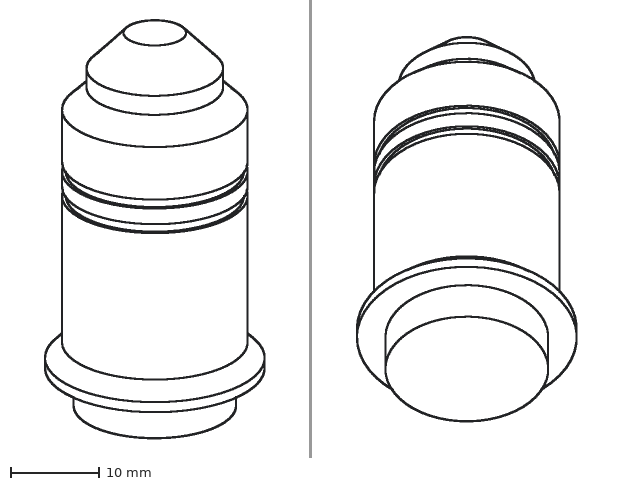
import cadquery as cq

total_height = 46.1

flange_radius = 12.45
body_radius = 10.5
groove_radius = 10.1
spigot_radius = 9.2
neck_radius = 7.75
tip_radius = 3.55

spigot_height = 4.65
flange_rim_height = 1.25
body_top = 36.6
neck_height = 2.35
tip_height = 4.4

groove_width = 1.1
groove_bottoms = (25.95, 29.0)

flange_rim_top = spigot_height + flange_rim_height
flange_bevel_top = flange_rim_top + (flange_radius - body_radius)
neck_top = total_height - tip_height
neck_bottom = neck_top - neck_height


def turned_body():
    """Revolve the stepped outline about the Z axis."""
    outline = [
        (0, 0),
        (spigot_radius, 0),
        (spigot_radius, spigot_height),
        (flange_radius, spigot_height),
        (flange_radius, flange_rim_top),
        (body_radius, flange_bevel_top),
        (body_radius, body_top),
        (neck_radius, neck_bottom),
        (neck_radius, neck_top),
        (tip_radius, total_height),
        (0, total_height),
    ]
    return cq.Workplane("XZ").polyline(outline).close().revolve(360, (0, 0), (0, 1))


def ring_groove(bottom):
    """Ring of material to remove from the body, starting at height bottom."""
    return (
        cq.Workplane("XY")
        .workplane(offset=bottom)
        .circle(flange_radius)
        .circle(groove_radius)
        .extrude(groove_width)
    )


result = turned_body()
for groove_bottom in groove_bottoms:
    result = result.cut(ring_groove(groove_bottom))